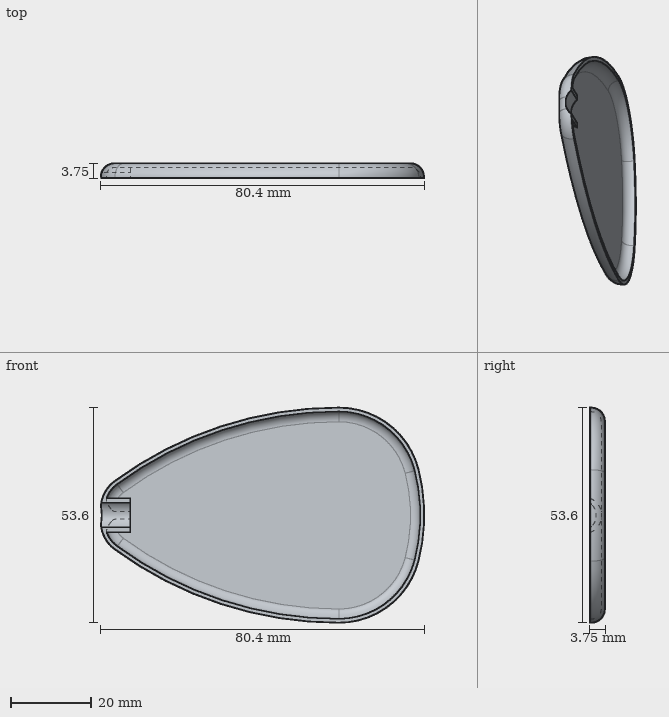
import math
import cadquery as cq

length = 80.51
depth = 3.75
half_width = 53.58 / 2

widest_x = 59.22
corner_radius = 20.5
side_radius = 94.0
tip_flat_half_width = 1.58

wall = 1.0
outer_fillet = 3.5
inner_fillet = outer_fillet - wall

groove_half_width = 3.05
groove_depth = 1.5
spout_half_width = 4.25
spout_sink = 0.1
spout_depth = depth - wall + spout_sink
spout_length = 7.4


def point_on_circle(center, through, radius):
    """Point at the given radius from center, in the direction of another point."""
    dx = through[0] - center[0]
    dz = through[1] - center[1]
    scale = radius / math.hypot(dx, dz)
    return (center[0] + dx * scale, center[1] + dz * scale)


def middle_of_arc(center, start, end, radius):
    """Middle point of the short arc between two points on a circle."""
    chord_middle = ((start[0] + end[0]) / 2, (start[1] + end[1]) / 2)
    return point_on_circle(center, chord_middle, radius)


def mirrored(point):
    return (point[0], -point[1])


def egg_outline(plane):
    """Closed outline of tangent arcs: tip, sides, corners and blunt end."""
    corner_center = (widest_x, half_width - corner_radius)
    side_center = (widest_x, half_width - side_radius)

    reach = length - corner_radius
    end_center_x = (widest_x**2 + corner_center[1]**2 - reach**2) / (2 * (widest_x - reach))
    end_center = (end_center_x, 0)
    end_radius = length - end_center_x

    rise = tip_flat_half_width - side_center[1]
    tip_radius = (widest_x**2 + rise**2 - side_radius**2) / (2 * (widest_x - side_radius))
    tip_center = (tip_radius, tip_flat_half_width)

    flat_end = (0, tip_flat_half_width)
    tip_end = point_on_circle(side_center, tip_center, side_radius)
    side_end = (widest_x, half_width)
    corner_end = point_on_circle(end_center, corner_center, end_radius)

    tip_middle = middle_of_arc(tip_center, flat_end, tip_end, tip_radius)
    side_middle = middle_of_arc(side_center, tip_end, side_end, side_radius)
    corner_middle = middle_of_arc(corner_center, side_end, corner_end, corner_radius)

    return (
        plane.moveTo(*flat_end)
        .threePointArc(tip_middle, tip_end)
        .threePointArc(side_middle, side_end)
        .threePointArc(corner_middle, corner_end)
        .threePointArc((length, 0), mirrored(corner_end))
        .threePointArc(mirrored(corner_middle), mirrored(side_end))
        .threePointArc(mirrored(side_middle), mirrored(tip_end))
        .threePointArc(mirrored(tip_middle), mirrored(flat_end))
        .close()
    )


def outer_body():
    """Solid egg with its open rim at Y = 0 and a rounded back edge."""
    body = egg_outline(cq.Workplane("XZ")).extrude(-depth)
    return body.faces(">Y").edges().fillet(outer_fillet)


def cavity():
    """Hollow that leaves an even wall inside the body."""
    hollow = egg_outline(cq.Workplane("XZ")).offset2D(-wall).extrude(-(depth - wall))
    return hollow.faces(">Y").edges().fillet(inner_fillet)


def round_bar(bar_half_width, bar_depth):
    """Bar along X from the tip, with its half width at the rim and its depth behind the rim given."""
    radius = (bar_half_width**2 + bar_depth**2) / (2 * bar_depth)
    axis_y = bar_depth - radius
    return cq.Workplane("YZ").center(axis_y, 0).circle(radius).extrude(spout_length)


def build():
    body = outer_body()
    spout = round_bar(spout_half_width, spout_depth).intersect(body)
    groove = round_bar(groove_half_width, groove_depth)
    return body.cut(cavity()).union(spout).cut(groove)


result = build()